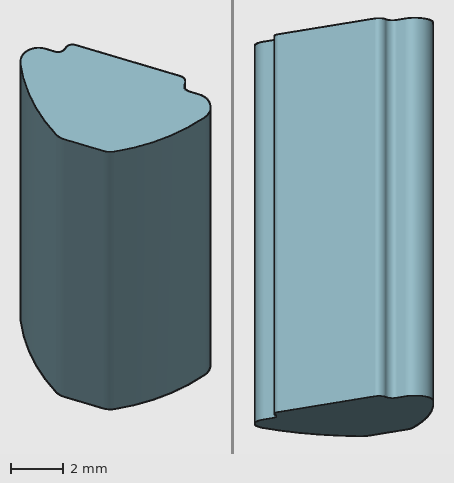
import cadquery as cq
import math

width = 7.7
depth = 4.6
length = 15.0
rib_width = 4.9
rib_height = 0.6
rib_radius = rib_height / 2
wing_radius = 0.7
flank_radius = 7.5
flank_center_y = 1.8
nose_radius = 0.7

half_rib = rib_width / 2
shoulder_y = -rib_height
wing_x = width / 2 - wing_radius
wing_y = shoulder_y - wing_radius
nose_y = -depth + nose_radius


def inner_tangent_offset(radius, center_y):
    """X distance from the flank centre to a circle touching the flank from inside."""
    return math.sqrt((flank_radius - radius) ** 2 - (flank_center_y - center_y) ** 2)


flank_x = wing_x - inner_tangent_offset(wing_radius, wing_y)
nose_x = flank_x + inner_tangent_offset(nose_radius, nose_y)

wing_angle = math.atan2(wing_y - flank_center_y, wing_x - flank_x)
nose_angle = math.atan2(nose_y - flank_center_y, nose_x - flank_x)
quarter_turn = math.pi / 2


def side_edges(side):
    """Outline from the rib face to the nose; side is 1 for the +X half and -1 for the -X half."""

    def point(x, y):
        return cq.Vector(side * x, y, 0)

    def arc(center_x, center_y, radius, start_angle, end_angle):
        angles = (start_angle, (start_angle + end_angle) / 2, end_angle)
        points = [
            point(center_x + radius * math.cos(angle), center_y + radius * math.sin(angle))
            for angle in angles
        ]
        return cq.Edge.makeThreePointArc(*points)

    rib_x = half_rib - rib_radius
    root_x = half_rib + rib_radius
    return [
        arc(rib_x, -rib_radius, rib_radius, quarter_turn, 0),
        arc(root_x, -rib_radius, rib_radius, 2 * quarter_turn, 3 * quarter_turn),
        cq.Edge.makeLine(point(root_x, shoulder_y), point(wing_x, shoulder_y)),
        arc(wing_x, wing_y, wing_radius, quarter_turn, 0),
        arc(wing_x, wing_y, wing_radius, 0, wing_angle),
        arc(flank_x, flank_center_y, flank_radius, wing_angle, nose_angle),
        arc(nose_x, nose_y, nose_radius, nose_angle, -quarter_turn),
    ]


def flat_edge(half_width, y):
    """Straight edge along X, centred on X = 0."""
    return cq.Edge.makeLine(cq.Vector(-half_width, y, 0), cq.Vector(half_width, y, 0))


rib_face = flat_edge(half_rib - rib_radius, 0)
nose_face = flat_edge(nose_x, -depth)
outline = cq.Wire.assembleEdges([rib_face, *side_edges(1), nose_face, *reversed(side_edges(-1))])
result = cq.Workplane("XY").add(outline).toPending().extrude(length, clean=False)